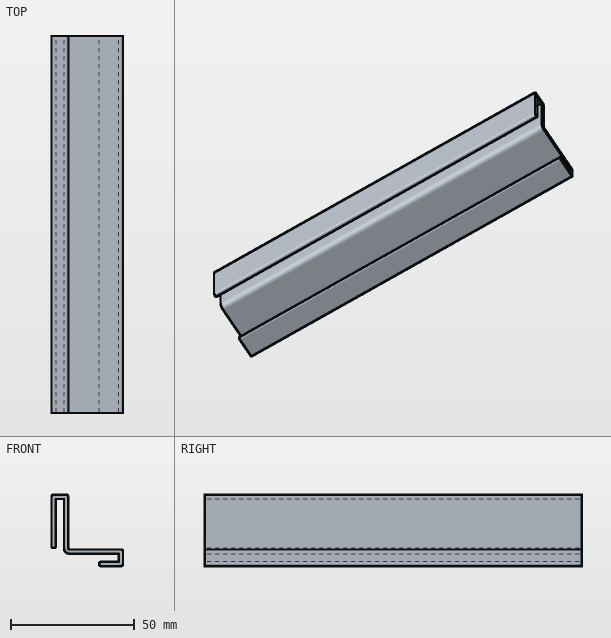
import cadquery as cq

length = 152.4
size = 29.0
wall = 1.8
hook_width = 6.9
leg_length = 21.6
lip_length = 9.8
corner_radius = 0.9
inner_radius = 0.5

web_left = hook_width - wall
flange_top = hook_width
flange_bottom = flange_top - wall
leg_bottom = size - leg_length
lip_left = size - lip_length
end_radius = wall / 2
bend_radius = inner_radius + wall


def make_profile():
    """Folded section: hanging leg, web, flange and returning lip."""
    return (
        cq.Workplane("XZ")
        .moveTo(0, size)
        .lineTo(0, leg_bottom + end_radius)
        .threePointArc((end_radius, leg_bottom), (wall, leg_bottom + end_radius))
        .lineTo(wall, size - wall)
        .lineTo(web_left, size - wall)
        .lineTo(web_left, flange_bottom)
        .lineTo(size - wall, flange_bottom)
        .lineTo(size - wall, wall)
        .lineTo(lip_left + end_radius, wall)
        .threePointArc((lip_left, end_radius), (lip_left + end_radius, 0))
        .lineTo(size, 0)
        .lineTo(size, flange_top)
        .lineTo(hook_width, flange_top)
        .lineTo(hook_width, size)
        .close()
    )


def round_long_edge(body, x, z, radius):
    """Round the lengthwise edge that passes through (x, z)."""
    edge = cq.selectors.NearestToPointSelector((x, -length / 2, z))
    return body.edges("|Y").edges(edge).fillet(radius)


result = make_profile().extrude(length)

hook_corners = [(0, size), (hook_width, size), (size, flange_top), (size, 0)]
for corner_x, corner_z in hook_corners:
    result = round_long_edge(result, corner_x, corner_z, corner_radius)

result = round_long_edge(result, web_left, flange_bottom, bend_radius)
result = round_long_edge(result, hook_width, flange_top, inner_radius)

result = result.translate((-size / 2, length / 2, -size / 2))